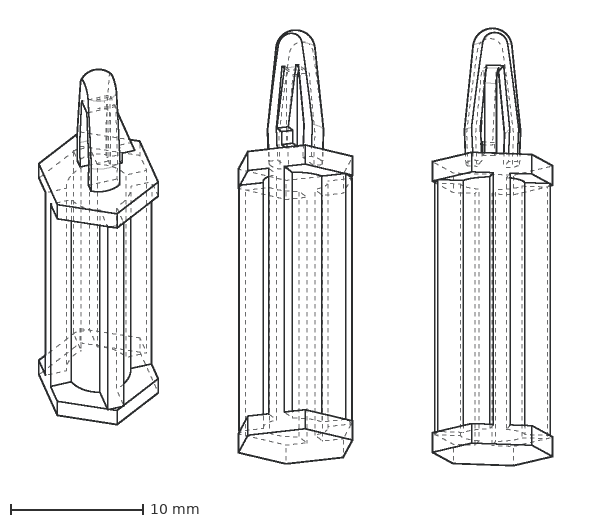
import cadquery as cq
import math

total_height = 32.8
across_flats = 8.0
across_corners = across_flats / math.cos(math.pi / 6)
body_height = 22.4
flange_thickness = 1.5
core_diameter = 4.9
rib_width = 1.28
rib_span_x = 8.65
rib_span_y = across_flats

pin_depth = 2.25
pin_base_radius = 2.05
pin_widest_radius = 2.13
pin_widest_z = 24.93
dome_base_radius = 1.48
dome_height = 1.3
dome_base_z = total_height - dome_height
dome_radius = (dome_base_radius**2 + dome_height**2) / (2 * dome_height)

slot_base_half_width = 1.02
slot_widest_half_width = 1.1
slot_top_half_width = 0.65
slot_top_z = 29.75

tongue_width = 0.92
tongue_front_y = 0.8
tongue_root_radius = 1.0
tongue_bottom_z = 23.4
catch_z = 24.4
catch_tip_y = 2.72
catch_step_y = 1.75
ramp_top_z = 29.62


def flange(bottom_z):
    """Hexagonal plate with its corners on the X axis."""
    plate = cq.Workplane("XY").workplane(offset=bottom_z)
    return plate.polygon(6, across_corners).extrude(flange_thickness)


def ribbed_column():
    """Round core the height of the body, with four ribs between the flanges."""
    core = cq.Workplane("XY").circle(core_diameter / 2).extrude(body_height)
    rib_height = body_height - 2 * flange_thickness
    rib_plane = cq.Workplane("XY").workplane(offset=flange_thickness)
    for size_x, size_y in ((rib_span_x, rib_width), (rib_width, rib_span_y)):
        core = core.union(rib_plane.rect(size_x, size_y).extrude(rib_height))
    return core


def leg_opening():
    """Tapered opening cut through the pin from front to back."""
    right_side = [
        (slot_base_half_width, body_height),
        (slot_widest_half_width, pin_widest_z),
        (slot_top_half_width, slot_top_z),
    ]
    left_side = [(-x, z) for x, z in reversed(right_side)]
    outline = cq.Workplane("XZ").polyline(right_side + left_side).close()
    return outline.extrude(pin_depth, both=True)


def snap_pin():
    """Revolved pin, trimmed to flat faces and split into two legs."""
    arc_angle = math.asin(dome_base_radius / dome_radius) / 2
    dome_middle = (
        dome_radius * math.sin(arc_angle),
        total_height - dome_radius * (1 - math.cos(arc_angle)),
    )
    profile = (
        cq.Workplane("XZ")
        .moveTo(0, body_height)
        .lineTo(pin_base_radius, body_height)
        .lineTo(pin_widest_radius, pin_widest_z)
        .lineTo(dome_base_radius, dome_base_z)
        .threePointArc(dome_middle, (0, total_height))
        .close()
    )
    bullet = profile.revolve(360, (0, 0, 0), (0, 1, 0))
    flats = cq.Workplane("XY").box(across_corners, pin_depth, 2 * total_height)
    return bullet.intersect(flats).cut(leg_opening())


def locking_tongue():
    """Ramped tongue with a stepped catch and a rounded root."""
    root_y = tongue_front_y - tongue_root_radius
    root_z = slot_top_z - tongue_root_radius
    diagonal = tongue_root_radius * math.sqrt(0.5)
    back_y = pin_depth / 2
    return (
        cq.Workplane("YZ")
        .moveTo(tongue_front_y, tongue_bottom_z)
        .lineTo(catch_step_y, tongue_bottom_z)
        .lineTo(catch_step_y, catch_z)
        .lineTo(catch_tip_y, catch_z)
        .lineTo(back_y, ramp_top_z)
        .lineTo(back_y, slot_top_z)
        .lineTo(root_y, slot_top_z)
        .threePointArc((root_y + diagonal, root_z + diagonal), (tongue_front_y, root_z))
        .close()
        .extrude(tongue_width / 2, both=True)
    )


result = (
    ribbed_column()
    .union(flange(0))
    .union(flange(body_height - flange_thickness))
    .union(snap_pin())
    .union(locking_tongue())
)